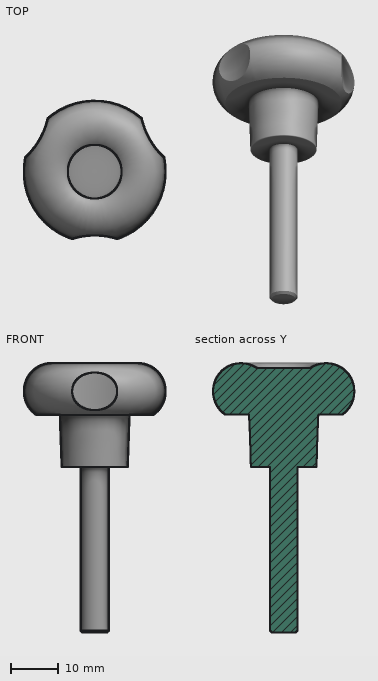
import cadquery as cq
import math

head_radius = 15.0
rim_radius = 6.0
rim_center_radius = head_radius - rim_radius
head_height = 11.0
dish_depth = 1.0

scallop_count = 3
scallop_radius = 16.0
scallop_depth = 1.5
first_scallop_angle = -90.0

hub_length = 11.0
hub_bottom_radius = 7.0
hub_taper = 2.0
hub_edge_fillet = 0.2

stud_radius = 3.0
stud_length = 35.0
stud_chamfer = 0.5

head_bottom = hub_length
head_top = head_bottom + head_height
rim_center_height = head_top - rim_radius


def rim_half_chord(offset):
    """Half length of the rim circle's chord at a distance from its centre."""
    return math.sqrt(rim_radius**2 - offset**2)


def make_head():
    bottom_radius = rim_center_radius + rim_half_chord(rim_center_height - head_bottom)
    dish_floor = head_top - dish_depth
    dish_floor_radius = rim_center_radius - rim_half_chord(dish_floor - rim_center_height)
    profile = (
        cq.Workplane("XZ")
        .moveTo(0, head_bottom)
        .lineTo(bottom_radius, head_bottom)
        .threePointArc((head_radius, rim_center_height), (dish_floor_radius, dish_floor))
        .lineTo(0, dish_floor)
        .close()
    )
    return profile.revolve(360, (0, 0, 0), (0, 1, 0))


def make_scallop_cutters():
    center_distance = head_radius - scallop_depth + scallop_radius
    return (
        cq.Workplane("XY", origin=(0, 0, head_bottom))
        .polarArray(center_distance, first_scallop_angle, 360, scallop_count)
        .circle(scallop_radius)
        .extrude(head_height)
    )


def make_hub():
    hub = cq.Workplane("XY").circle(hub_bottom_radius).extrude(hub_length, taper=-hub_taper)
    return hub.faces("<Z").edges().fillet(hub_edge_fillet)


def make_stud():
    stud = cq.Workplane("XY").circle(stud_radius).extrude(-stud_length)
    return stud.faces("<Z").edges().chamfer(stud_chamfer)


head = make_head().cut(make_scallop_cutters())
result = head.union(make_hub()).union(make_stud())